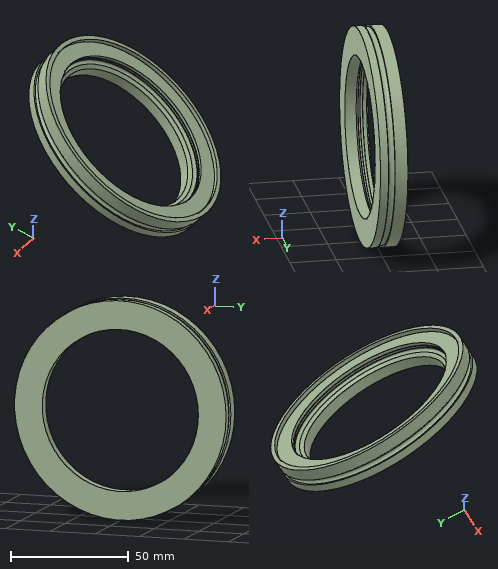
import cadquery as cq

outer_radius = 47.5
width = 12.0
rim_radius = 45.4
recess_depth = 1.9
seat_radius = 38.2
floor_depth = 5.9
cone_radius = 36.7
bore_radius = 35.0
cone_depth = 1.1

inner_groove_start = 3.6
inner_groove_width = 1.1
inner_groove_depth = 0.4
seat_fillet = 0.7

outer_groove_center = 6.9
outer_groove_width = 2.8
outer_groove_depth = 1.5
outer_groove_wall = 0.8


def disc(radius, start, length):
    return cq.Workplane("YZ", origin=(start, 0, 0)).circle(radius).extrude(length)


def bore_cone():
    """Tapered entry from the seat floor down to the bore."""
    end = floor_depth + cone_depth
    profile = [(floor_depth, 0), (floor_depth, cone_radius), (end, bore_radius), (end, 0)]
    return cq.Workplane("XY").polyline(profile).close().revolve(360, (0, 0, 0), (1, 0, 0))


def seat():
    """Deeper counterbore with a filleted floor corner."""
    return disc(seat_radius, 0, floor_depth).faces(">X").edges().fillet(seat_fillet)


def outer_groove():
    """Straight-sided groove with a shallow arc for its bottom."""
    half_width = outer_groove_width / 2
    bottom = outer_radius - outer_groove_depth
    wall_end = outer_radius - outer_groove_wall
    left = outer_groove_center - half_width
    right = outer_groove_center + half_width
    section = (
        cq.Workplane("XY")
        .moveTo(left, outer_radius)
        .lineTo(left, wall_end)
        .threePointArc((outer_groove_center, bottom), (right, wall_end))
        .lineTo(right, outer_radius)
        .close()
    )
    return section.revolve(360, (0, 0, 0), (1, 0, 0))


result = (
    disc(outer_radius, 0, width)
    .cut(disc(bore_radius, 0, width))
    .cut(disc(rim_radius, 0, recess_depth))
    .cut(seat())
    .cut(disc(seat_radius + inner_groove_depth, inner_groove_start, inner_groove_width))
    .cut(bore_cone())
    .cut(outer_groove())
)